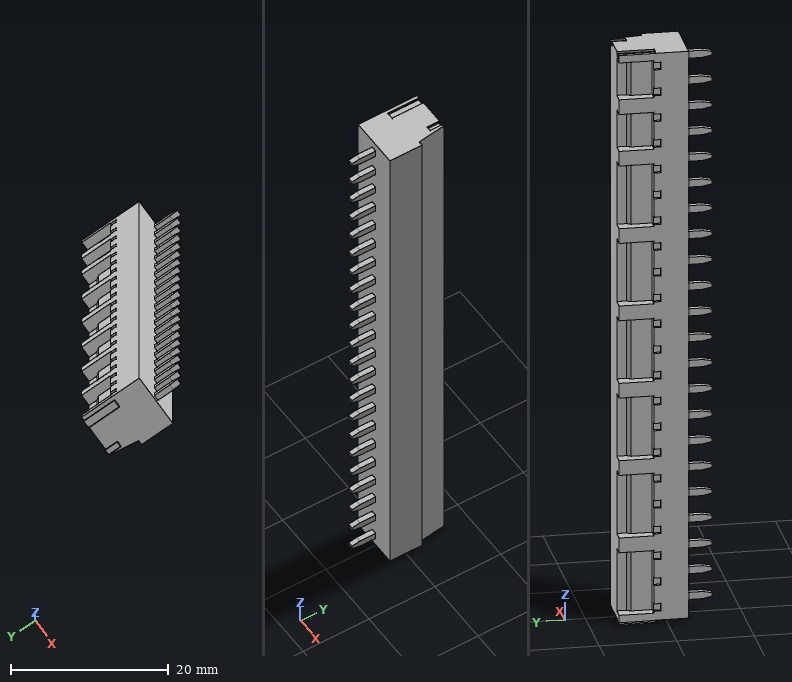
import cadquery as cq

PITCH = 3.5
POCKET_POLES = [3, 3, 3, 3, 3, 3, 2, 2]
POLES = sum(POCKET_POLES)

WIDTH = 7.4
DEPTH = 9.0
HEIGHT = POLES * PITCH

STEP_DEPTH = 4.9
SHOULDER_WIDTH = 6.75
BACK_WIDTH = 6.2

RIB_HEIGHT = 2.0
POCKET_LENGTH = 4.5
POCKET_FRONT_SINK = 1.3
POCKET_BACK_SINK = 1.65
RAMP_OFFSET = 1.25
RAMP_LENGTH = 0.5

NOTCH_LENGTH = 0.9
NOTCH_HEIGHT = 1.0
NOTCH_SINK = 0.4

PIN_LENGTH = 3.6
PIN_WIDTH = 0.8
PIN_HEIGHT = 1.0
PIN_X = WIDTH / 2
PIN_TIP_LENGTH = 1.2
PIN_TIP_HEIGHT = 0.5

LONG_KEY = (1.0, 0.8, 4.8)
SHORT_KEY = (5.55, 0.5, 1.9)
KEY_HEIGHT = 0.55
KEY_LIP_HEIGHT = 0.2
KEY_OVERHANG = 0.15
SLOT_CLEARANCE = 0.1


def box(x, y, z, dx, dy, dz):
    """Box from its lowest corner and its sizes."""
    return cq.Workplane("XY").box(dx, dy, dz, centered=False).translate((x, y, z))


def housing():
    outline = [
        (0, 0),
        (WIDTH, 0),
        (WIDTH, STEP_DEPTH),
        (SHOULDER_WIDTH, STEP_DEPTH),
        (BACK_WIDTH, DEPTH),
        (0, DEPTH),
    ]
    return cq.Workplane("XY").polyline(outline).close().extrude(HEIGHT)


def pocket(bottom, poles):
    """Recess in the flank, open at the back, with a ramp between two floor levels."""
    ramp_back = DEPTH - RAMP_OFFSET
    outline = [
        (0, DEPTH - POCKET_LENGTH),
        (POCKET_FRONT_SINK, DEPTH - POCKET_LENGTH),
        (POCKET_FRONT_SINK, ramp_back - RAMP_LENGTH),
        (POCKET_BACK_SINK, ramp_back),
        (POCKET_BACK_SINK, DEPTH),
        (0, DEPTH),
    ]
    recess = cq.Workplane("XY").polyline(outline).close().extrude(poles * PITCH - RIB_HEIGHT)
    return recess.translate((0, 0, bottom + RIB_HEIGHT / 2))


def notch(z):
    y = DEPTH - POCKET_LENGTH - NOTCH_LENGTH
    return box(0, y, z - NOTCH_HEIGHT / 2, NOTCH_SINK, NOTCH_LENGTH, NOTCH_HEIGHT)


def pin(z):
    """Solder pin along -Y with a tip tapered in height."""
    half = PIN_HEIGHT / 2
    half_tip = PIN_TIP_HEIGHT / 2
    taper_y = PIN_TIP_LENGTH - PIN_LENGTH
    outline = [
        (0, z - half),
        (taper_y, z - half),
        (-PIN_LENGTH, z - half_tip),
        (-PIN_LENGTH, z + half_tip),
        (taper_y, z + half),
        (0, z + half),
    ]
    blade = cq.Workplane("YZ").polyline(outline).close().extrude(PIN_WIDTH)
    return blade.translate((PIN_X - PIN_WIDTH / 2, 0, 0))


def dovetail(size, root_z, clearance=0):
    """Bar along Y hanging below root_z, flared downward and ending in a straight rim."""
    centre_x, root_width, length = size
    root = root_width / 2 + clearance
    rim = root + KEY_OVERHANG
    outline = [
        (-root, 0),
        (-rim, KEY_LIP_HEIGHT - KEY_HEIGHT),
        (-rim, -KEY_HEIGHT),
        (rim, -KEY_HEIGHT),
        (rim, KEY_LIP_HEIGHT - KEY_HEIGHT),
        (root, 0),
    ]
    bar = cq.Workplane("XZ").polyline(outline).close().extrude(length)
    return bar.translate((centre_x, DEPTH, root_z))


result = housing()

pocket_bottom = 0
for poles in POCKET_POLES:
    result = result.cut(pocket(pocket_bottom, poles))
    pocket_bottom += poles * PITCH

for pole in range(POLES):
    pole_z = (pole + 0.5) * PITCH
    result = result.cut(notch(pole_z)).union(pin(pole_z))

for size in (LONG_KEY, SHORT_KEY):
    result = result.cut(dovetail(size, HEIGHT, SLOT_CLEARANCE))
    result = result.union(dovetail(size, 0))